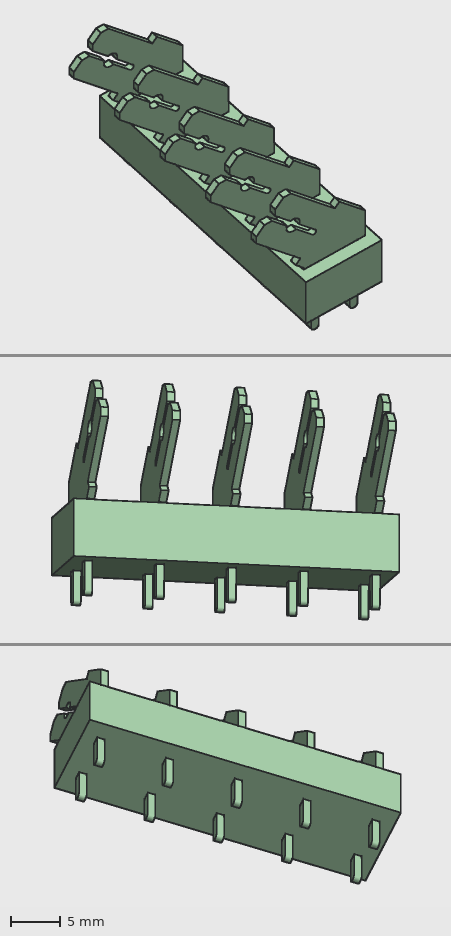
import cadquery as cq
import math


housing_length = 34.0
housing_depth = 9.83
housing_height = 6.0

contact_count = 5
contact_pitch = 7.5
contact_thickness = 0.8

foot_width = 8.0
bend_rise = 1.92
bend_angle = 45.0
shoulder_reach = 3.1
tab_width = 6.3
tab_reach = 11.8
prong_chamfer = 0.68
slot_width = 0.6
slot_end_reach = 3.47
eye_reach = 7.55
eye_diameter = 1.7

pin_pitch = 5.0
pin_width = 1.0
pin_projection = 3.5
pin_tip_radius = 0.45

bend_z = housing_height + bend_rise
lean = math.radians(bend_angle)
contact_xs = [(i - (contact_count - 1) / 2) * contact_pitch for i in range(contact_count)]
pin_ys = [-pin_pitch / 2, pin_pitch / 2]


def tab_point(along, across):
    """(Y, Z) of a point measured from the bend centre, along and across the leaning tab."""
    y = -along * math.sin(lean) + across * math.cos(lean)
    z = bend_z + along * math.cos(lean) + across * math.sin(lean)
    return (y, z)


def tab_edge(side):
    """Edge of one half of the tab, from its shoulder round the prong to the slot; side is +1 or -1."""
    half_foot = foot_width / 2
    half_tab = tab_width / 2
    half_slot = slot_width / 2
    chamfer_start = tab_reach - prong_chamfer
    edge = [
        (shoulder_reach, half_foot),
        (shoulder_reach, half_tab),
        (chamfer_start, half_tab),
        (tab_reach, half_tab - prong_chamfer),
        (tab_reach, half_slot + prong_chamfer),
        (chamfer_start, half_slot),
        (slot_end_reach + half_slot, half_slot),
    ]
    return [tab_point(along, side * across) for along, across in edge]


def make_plate(x):
    """Foot and split tab of the contact centred at x, standing on the housing top."""
    half_foot = foot_width / 2
    bend_offset = half_foot * math.tan(lean / 2)
    back_edge = [(half_foot, bend_z + bend_offset)] + tab_edge(1)
    front_edge = tab_edge(-1)[::-1] + [(-half_foot, bend_z - bend_offset), (-half_foot, housing_height)]
    plate = (
        cq.Workplane("YZ", origin=(x, 0, 0))
        .moveTo(half_foot, housing_height)
        .polyline(back_edge, includeCurrent=True)
        .threePointArc(tab_point(slot_end_reach, 0), front_edge[0])
        .polyline(front_edge[1:], includeCurrent=True)
        .close()
        .extrude(contact_thickness / 2, both=True)
    )
    eye = (
        cq.Workplane("YZ", origin=(x, 0, 0))
        .center(*tab_point(eye_reach, 0))
        .circle(eye_diameter / 2)
        .extrude(contact_thickness, both=True)
    )
    return plate.cut(eye)


def make_pin(x, y):
    """Solder pin from the housing top down through the housing, rounded at its tip."""
    length = housing_height + pin_projection
    return (
        cq.Workplane("XY", origin=(x, y, -pin_projection))
        .box(contact_thickness, pin_width, length, centered=(True, True, False))
        .edges("|X and <Z")
        .fillet(pin_tip_radius)
    )


def make_contact(x):
    """One contact: the plate and its two solder pins in a single piece."""
    contact = make_plate(x)
    for y in pin_ys:
        contact = contact.union(make_pin(x, y))
    return contact


def make_housing():
    """Block with a rectangular through hole for every solder pin."""
    block = cq.Workplane("XY").box(
        housing_length, housing_depth, housing_height, centered=(True, True, False)
    )
    pin_holes = (
        cq.Workplane("XY")
        .pushPoints([(x, y) for x in contact_xs for y in pin_ys])
        .rect(contact_thickness, pin_width)
        .extrude(housing_height)
    )
    return block.cut(pin_holes)


housing = make_housing().solids().val()
contacts = [make_contact(x).solids().val() for x in contact_xs]

result = cq.Compound.makeCompound([housing, *contacts])